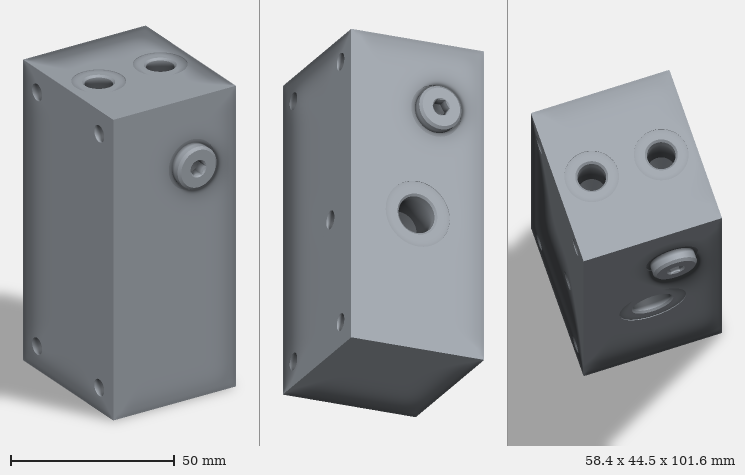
import cadquery as cq
import math

block_width = 50.8
block_depth = 44.5
block_height = 101.6
half_width = block_width / 2
half_height = block_height / 2

mount_hole_diameter = 5.6
mount_hole_inset = 7.9

recess_depth = 0.2
small_recess_diameter = 16.7
large_recess_diameter = 21.4

drill_point_angle = 118.0
port_chamfer = 0.66

top_port_diameter = 8.7
top_port_depth = 14.2
top_port_offset = 11.2

side_port_diameter = 12.0
side_port_depth = 14.2
side_port_z = -6.4
passage_diameter = 5.9
passage_beyond_port_shoulder = 1.2
passage_end_y = -0.3

overall_width = 58.4
plug_diameter = 14.1
plug_height = (overall_width - block_width) / 2
plug_chamfer = 0.8
plug_offset_y = 6.2
plug_below_top = 22.4
plug_z = half_height - plug_below_top
socket_across_flats = 4.9
socket_across_corners = socket_across_flats / math.cos(math.pi / 6)
socket_turn = 30.0
socket_mouth_diameter = 5.8
socket_depth = 4.1


def drill_tip_height(diameter):
    return diameter / 2 / math.tan(math.radians(drill_point_angle / 2))


def port_cutter(diameter, depth, recess_diameter):
    """Recess, chamfered mouth, bore and drill cone; face at z = 0, cutting toward -Z."""
    radius = diameter / 2
    mouth_radius = radius + port_chamfer
    recess_radius = recess_diameter / 2
    return (
        cq.Workplane("XZ")
        .moveTo(0, 0)
        .lineTo(recess_radius, 0)
        .lineTo(recess_radius, -recess_depth)
        .lineTo(mouth_radius, -recess_depth)
        .lineTo(radius, -recess_depth - port_chamfer)
        .lineTo(radius, -depth)
        .lineTo(0, -depth - drill_tip_height(diameter))
        .close()
        .revolve(360, (0, 0, 0), (0, 1, 0))
    )


def recess_ring():
    """Recess left around a plug; face at z = 0."""
    return (
        cq.Workplane("XY")
        .circle(small_recess_diameter / 2)
        .circle(plug_diameter / 2)
        .extrude(-recess_depth)
    )


def plug_head():
    """Chamfered plug head standing on z = 0."""
    return (
        cq.Workplane("XY")
        .circle(plug_diameter / 2)
        .extrude(plug_height)
        .faces(">Z")
        .chamfer(plug_chamfer)
    )


def plug_socket():
    """Hex socket with a countersunk mouth and a conical floor, sunk from the plug head's top."""
    floor_radius = socket_across_flats / 2
    mouth_radius = socket_mouth_diameter / 2
    mouth_depth = mouth_radius - floor_radius
    hexagon = (
        cq.Workplane("XY")
        .transformed(rotate=(0, 0, socket_turn))
        .polygon(6, socket_across_corners)
        .extrude(-socket_depth)
    )
    turned = (
        cq.Workplane("XZ")
        .moveTo(0, 0)
        .lineTo(mouth_radius, 0)
        .lineTo(floor_radius, -mouth_depth)
        .lineTo(floor_radius, -socket_depth)
        .lineTo(0, -socket_depth - drill_tip_height(socket_across_flats))
        .close()
        .revolve(360, (0, 0, 0), (0, 1, 0))
    )
    return hexagon.union(turned).translate((0, 0, plug_height))


def on_side_face(shape, side, y, z):
    """Move a shape built on z = 0 to the -X face (side = -1) or the +X face (side = 1)."""
    turned = shape.rotate((0, 0, 0), (0, 1, 0), side * 90)
    return turned.translate((side * half_width, y, z))


body = cq.Workplane("XY").box(block_width, block_depth, block_height)

mount_holes = (
    cq.Workplane("XZ")
    .rect(block_width - 2 * mount_hole_inset, block_height - 2 * mount_hole_inset, forConstruction=True)
    .vertices()
    .circle(mount_hole_diameter / 2)
    .extrude(block_depth / 2, both=True)
)
body = body.cut(mount_holes)

for y in (-top_port_offset, top_port_offset):
    top_port = port_cutter(top_port_diameter, top_port_depth, small_recess_diameter)
    body = body.cut(top_port.translate((0, y, half_height)))

side_port = port_cutter(side_port_diameter, side_port_depth, large_recess_diameter)
body = body.cut(on_side_face(side_port, -1, 0, side_port_z))

passage_x = -half_width + side_port_depth + passage_beyond_port_shoulder
passage = (
    cq.Workplane("XZ", origin=(passage_x, passage_end_y, side_port_z))
    .circle(passage_diameter / 2)
    .extrude(-(block_depth / 2 - passage_end_y))
)
body = body.cut(passage)

for side in (-1, 1):
    plug_y = side * plug_offset_y
    body = body.cut(on_side_face(recess_ring(), side, plug_y, plug_z))
    body = body.union(on_side_face(plug_head(), side, plug_y, plug_z))
    body = body.cut(on_side_face(plug_socket(), side, plug_y, plug_z))

result = body